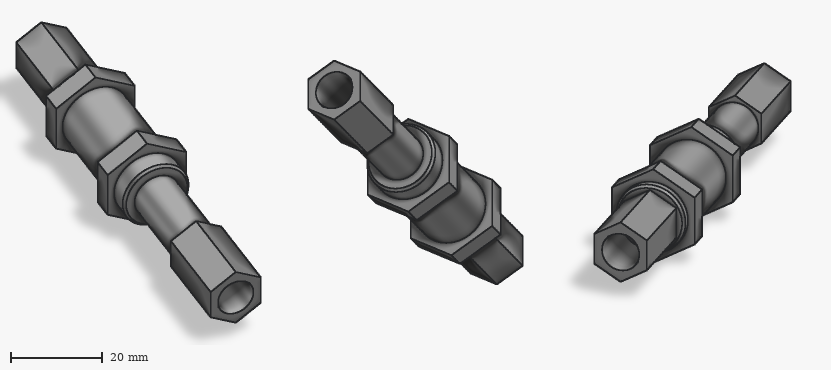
import cadquery as cq
import math

total_length = 98.5
end_hex_length = 20.1
body_length = 38.4
nut_thickness = 5.1
first_nut_start = 22.4
second_nut_start = 48.5

body_diameter = 16.0
body_chamfer = 0.6
rod_diameter = 10.7
end_hex_flats = 12.1
nut_flats = 19.0
bore_diameter = 8.6
bore_depth = 14.8

left_end = -total_length / 2
body_start = left_end + end_hex_length
body_end = body_start + body_length
right_hex_start = total_length / 2 - end_hex_length


def section_plane(x):
    """Plane across the axis at x, with local x along Y and normal along +X."""
    return cq.Workplane(cq.Plane(origin=(x, 0, 0), xDir=(0, 1, 0), normal=(1, 0, 0)))


def cylinder(x, length, diameter):
    return section_plane(x).circle(diameter / 2).extrude(length)


def hex_prism(x, length, flats):
    """Hexagonal prism with corners pointing up and down, sized across flats."""
    corner_diameter = flats / math.cos(math.pi / 6)
    hexagon = section_plane(x).transformed(rotate=(0, 0, 90)).polygon(6, corner_diameter)
    return hexagon.extrude(length)


result = cylinder(body_start, body_length, body_diameter).edges().chamfer(body_chamfer)
result = result.union(cylinder(body_end, right_hex_start - body_end, rod_diameter))

for start in (left_end, right_hex_start):
    result = result.union(hex_prism(start, end_hex_length, end_hex_flats))

for start in (first_nut_start, second_nut_start):
    result = result.union(hex_prism(left_end + start, nut_thickness, nut_flats))

for start in (left_end, total_length / 2 - bore_depth):
    result = result.cut(cylinder(start, bore_depth, bore_diameter))